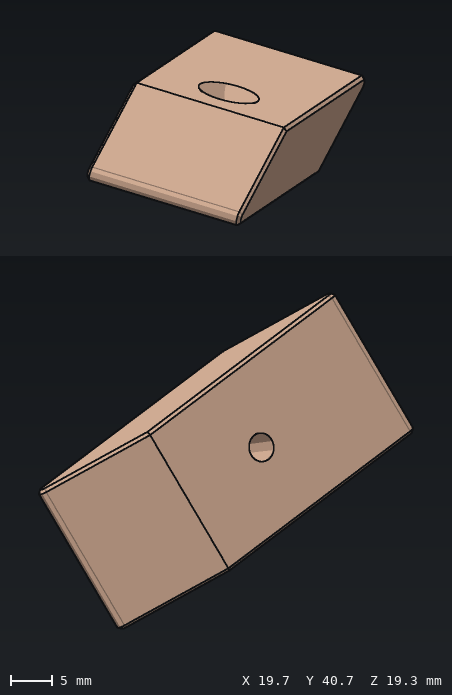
import cadquery as cq
import math

width = 19.7
length = 40.65
height = 19.3

slope_angle = 35.0
tip_radius = 1.0
side_chamfer = 0.4

hole_diameter = 3.4
countersink_diameter = 7.4
countersink_angle = 90.0
hole_y = 0.9

slope = math.radians(slope_angle)

sharp_tip_y = length / 2 - tip_radius + tip_radius / math.tan(slope / 2)
slope_run = height / math.tan(slope)
ridge_y = sharp_tip_y - slope_run


def make_body():
    """Parallelogram bar with rounded acute tips and chamfered sides."""
    profile = [
        (-sharp_tip_y, height / 2),
        (ridge_y, height / 2),
        (sharp_tip_y, -height / 2),
        (-ridge_y, -height / 2),
    ]
    bar = cq.Workplane("YZ").polyline(profile).close().extrude(width / 2, both=True)
    bar = bar.edges("|X").edges("<Y or >Y").fillet(tip_radius)
    return bar.faces("<X or >X").chamfer(side_chamfer)


def drill_hole(body):
    """Drill through the upper sloping face, along its normal."""
    hole_z = height / 2 - (hole_y - ridge_y) * math.tan(slope)
    upper_slope = cq.Plane(
        origin=(0, hole_y, hole_z),
        xDir=(1, 0, 0),
        normal=(0, math.sin(slope), math.cos(slope)),
    )
    return body.copyWorkplane(cq.Workplane(upper_slope)).cskHole(
        hole_diameter, countersink_diameter, countersink_angle
    )


result = drill_hole(make_body())